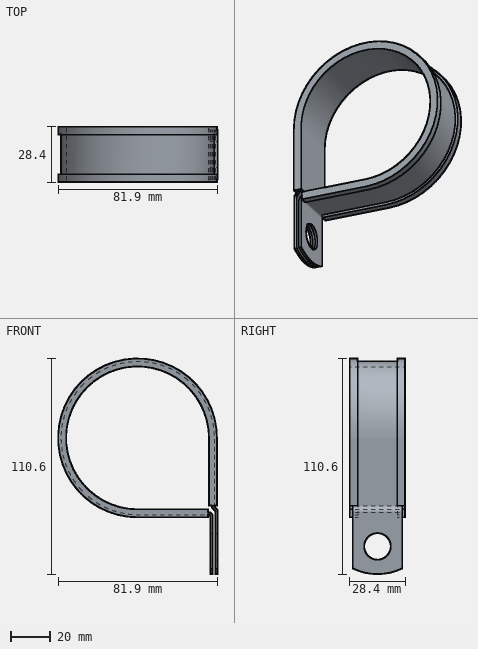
import math

import cadquery as cq


loop_inner_diameter = 73.1
strap_thickness = 1.3
cushion_layer = 1.45
cushion_width = 28.45
groove_width = 20.32
upper_leg_end_z = -34.75
lower_leg_end_x = 36.2

inner_radius = loop_inner_diameter / 2
strap_inner_radius = inner_radius + cushion_layer
strap_outer_radius = strap_inner_radius + strap_thickness
outer_radius = strap_outer_radius + cushion_layer

overall_length_x = 81.93
overall_length_z = 110.63
tab_width = 25.4
bend_inner_radius = 1.0
bend_outer_radius = bend_inner_radius + strap_thickness
joggle_angle = math.radians(45)
tab_embed = 2.0
tab_tip_height = 2.95
tab_tip_z = outer_radius - overall_length_z
tab_corner_z = tab_tip_z + tab_tip_height
upper_tab_outer_x = overall_length_x - outer_radius

hole_diameter = 13.5
hole_z = -55.6


def loop_region(radius, width):
    """Solid teardrop: three quarters of a circle closed by two legs meeting in a square corner."""
    return (
        cq.Workplane("XZ")
        .moveTo(radius, -radius)
        .lineTo(radius, 0)
        .threePointArc((-radius * math.sqrt(0.5), radius * math.sqrt(0.5)), (0, -radius))
        .close()
        .extrude(width / 2, both=True)
    )


def box_between(x_min, x_max, z_min, z_max, width):
    """Box centred on Y that spans the given X and Z ranges."""
    return (
        cq.Workplane("XY")
        .box(x_max - x_min, width, z_max - z_min, centered=(False, True, False))
        .translate((x_min, 0, z_min))
    )


def make_cushion():
    """Band around the loop, open at the corner, with the strap groove around its outside."""
    band = loop_region(outer_radius, cushion_width).cut(loop_region(inner_radius, cushion_width))
    groove = loop_region(outer_radius, groove_width).cut(
        loop_region(strap_outer_radius, groove_width)
    )
    corner_below_upper_leg = box_between(
        inner_radius, outer_radius, -outer_radius, upper_leg_end_z, cushion_width
    )
    corner_beside_lower_leg = box_between(
        lower_leg_end_x, outer_radius, -outer_radius, -inner_radius, cushion_width
    )
    return band.cut(groove).cut(corner_below_upper_leg).cut(corner_beside_lower_leg)


def make_lower_tab():
    """Strap leaving the lower leg along +X and bending down through a quarter turn."""
    top_z = -strap_inner_radius
    bottom_z = -strap_outer_radius
    inner_x = lower_leg_end_x + bend_inner_radius
    outer_x = inner_x + strap_thickness
    bend_center_z = bottom_z - bend_inner_radius
    start_x = lower_leg_end_x - tab_embed
    return (
        cq.Workplane("XZ")
        .moveTo(start_x, top_z)
        .lineTo(lower_leg_end_x, top_z)
        .tangentArcPoint((outer_x, bend_center_z), relative=False)
        .lineTo(outer_x, tab_tip_z)
        .lineTo(inner_x, tab_tip_z)
        .lineTo(inner_x, bend_center_z)
        .tangentArcPoint((lower_leg_end_x, bottom_z), relative=False)
        .lineTo(start_x, bottom_z)
        .close()
        .extrude(tab_width / 2, both=True)
    )


def make_upper_tab():
    """Strap leaving the upper leg along -Z and stepping outward through a joggle."""
    arc_sine = math.sin(joggle_angle)
    arc_rise = 1 - math.cos(joggle_angle)
    bend_radius_sum = bend_inner_radius + bend_outer_radius
    step_x = upper_tab_outer_x - strap_outer_radius
    slope_x = step_x - bend_radius_sum * arc_rise
    slope_z = slope_x / math.tan(joggle_angle)
    joggle_end_z = upper_leg_end_z - bend_radius_sum * arc_sine - slope_z
    start_z = upper_leg_end_z + tab_embed
    upper_tab_inner_x = upper_tab_outer_x - strap_thickness

    outer_slope_top = (
        strap_outer_radius + bend_inner_radius * arc_rise,
        upper_leg_end_z - bend_inner_radius * arc_sine,
    )
    outer_slope_bottom = (outer_slope_top[0] + slope_x, outer_slope_top[1] - slope_z)
    inner_slope_bottom = (
        upper_tab_inner_x - bend_inner_radius * arc_rise,
        joggle_end_z + bend_inner_radius * arc_sine,
    )
    inner_slope_top = (inner_slope_bottom[0] - slope_x, inner_slope_bottom[1] + slope_z)
    return (
        cq.Workplane("XZ")
        .moveTo(strap_outer_radius, start_z)
        .lineTo(strap_outer_radius, upper_leg_end_z)
        .tangentArcPoint(outer_slope_top, relative=False)
        .lineTo(*outer_slope_bottom)
        .tangentArcPoint((upper_tab_outer_x, joggle_end_z), relative=False)
        .lineTo(upper_tab_outer_x, tab_tip_z)
        .lineTo(upper_tab_inner_x, tab_tip_z)
        .lineTo(upper_tab_inner_x, joggle_end_z)
        .tangentArcPoint(inner_slope_bottom, relative=False)
        .lineTo(*inner_slope_top)
        .tangentArcPoint((strap_inner_radius, upper_leg_end_z), relative=False)
        .lineTo(strap_inner_radius, start_z)
        .close()
        .extrude(tab_width / 2, both=True)
    )


def shape_tab_ends(tabs):
    """Round the tips of both tabs and drill the bolt hole through them."""
    half_width = tab_width / 2
    outline = (
        cq.Workplane("YZ")
        .moveTo(-half_width, 0)
        .lineTo(-half_width, tab_corner_z)
        .threePointArc((0, tab_tip_z), (half_width, tab_corner_z))
        .lineTo(half_width, 0)
        .close()
        .extrude(overall_length_x)
    )
    bolt_hole = (
        cq.Workplane("YZ")
        .center(0, hole_z)
        .circle(hole_diameter / 2)
        .extrude(overall_length_x)
    )
    return tabs.intersect(outline).cut(bolt_hole)


cushion = make_cushion()
lower_tab = shape_tab_ends(make_lower_tab())
upper_tab = shape_tab_ends(make_upper_tab())
result = cushion.union(lower_tab).union(upper_tab)